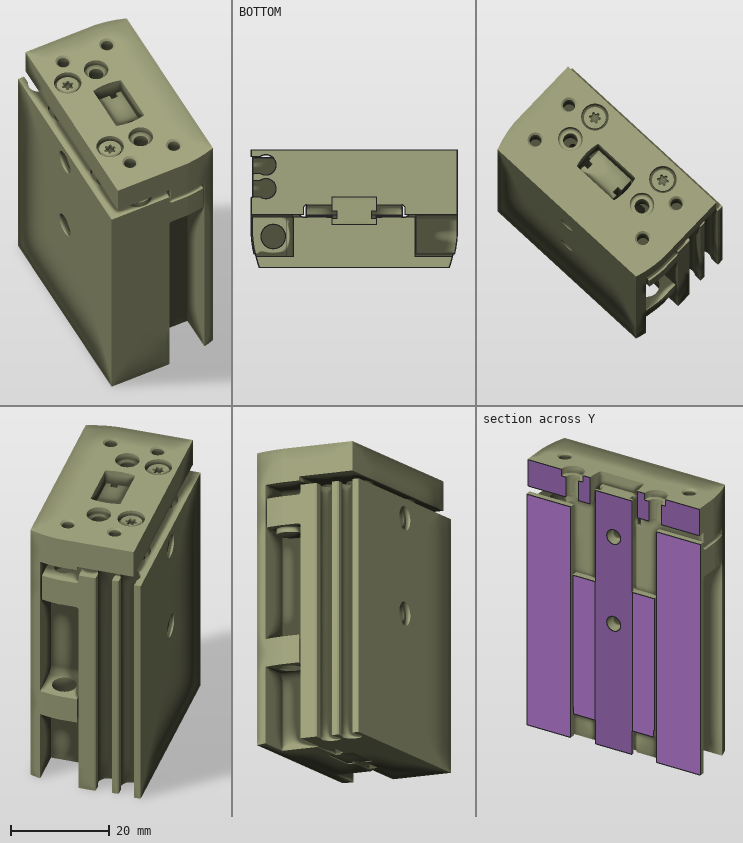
import cadquery as cq
import math

total_depth = 24.0
total_height = 61.0

housing_width = 42.0
housing_height = 53.0
housing_top_y = 13.2
channel_half_width = 10.3
channel_floor_y = 11.2
carriage_half_width = 9.85
carriage_top_y = 13.45
carriage_bottom_z = 5.6
carriage_body_bottom_z = 7.2
carriage_top_z = 37.5
channel_corner = 0.4
end_cap_inset = 0.15

groove_diameter = 4.13
groove_axis_x = -18.0
groove_opening = 3.4
groove_axis_ys = (3.08, 7.9)
groove_strip_recess = 0.3
strip_corner = 0.3
wall_corner = 0.2

ear_bottom_z = 45.0
ear_top_z = 51.0
ear_top_y = 21.2
ear_fillet = 0.7
ear_side_gap = 0.15
adjuster_x = -16.5
adjuster_y = 17.65
adjuster_bumper_diameter = 6.0
adjuster_bumper_length = 1.15
adjuster_socket_diameter = 4.0
adjuster_socket_depth = 1.5

stop_x = 17.65
stop_y = 7.5
stop_diameter = 6.0
stop_height = 1.4
stop_tip_diameter = 3.0

table_width = 41.4
table_front_y = 1.57
end_plate_thickness = 6.15
flank_start_y = 17.5
flank_mid_y = 21.0
flank_mid_inset = 0.5
flank_end_inset = 1.35
plate_inner_y = 21.7
block_bottom_y = 13.7
block_half_width = 12.4
arm_bottom_z = 54.0
far_arm_bottom_z = 52.0
stop_block_bottom_z = 16.0
stop_block_top_z = 21.8
stop_block_hole = 5.0
block_fillet = 1.4

window_half_width = 5.2
window_end_bulge = 0.44
window_bottom_z = 52.0
window_front_y = 9.1
window_back_y = 15.5
window_corner = 0.3

rail_half_width = 4.5
rail_front_y = 9.6
rail_back_y = 15.25
rail_bottom_z = 0.2
rail_top_z = 58.45
rail_chamfer = 0.25
rail_groove_front_y = 12.5
rail_groove_back_y = 14.0
rail_groove_depth = 1.0

piston_x = 9.5
piston_y = 5.5
piston_diameter = 5.6
piston_depth = 20.0
bore_mouth_diameter = 8.0
bore_mouth_depth = 2.0
screw_counterbore = 5.6
screw_counterbore_depth = 1.6
screw_head_diameter = 4.46
screw_head_drop = 0.8
socket_diameter = 2.46
socket_core_diameter = 1.7
socket_lobe_diameter = 0.6
socket_depth = 1.2
socket_lobes = 6

through_hole_x = 10.0
through_hole_y = 12.25
through_hole_diameter = 3.0
through_counterbore = 5.0
through_counterbore_depth = 1.5
thread_hole_x = 15.0
thread_hole_ys = (7.3, 17.3)
thread_hole_diameter = 2.46
thread_hole_mouth = 3.24
thread_hole_depth = 5.0

cross_hole_zs = (29.0, 48.9)
cross_hole_diameter = 3.24
cross_counterbore = 5.0
cross_counterbore_depth = 1.0

end_plate_bottom_z = total_height - end_plate_thickness
piston_bottom_z = housing_height - piston_depth
left = -1
right = 1
edge_search = 0.1


def box(x0, x1, y0, y1, z0, z1):
    """Axis-aligned block between the given limits."""
    return cq.Workplane("XY").box(x1 - x0, y1 - y0, z1 - z0, centered=False).translate((x0, y0, z0))


def rod(x, y, z0, z1, diameter):
    """Cylinder along Z."""
    return cq.Workplane("XY").workplane(offset=z0).center(x, y).circle(diameter / 2).extrude(z1 - z0)


def cross_rods(diameter, length):
    """Cylinders along Y, one at each cross hole, starting at the mounting face."""
    points = [(0, z) for z in cross_hole_zs]
    return cq.Workplane("XZ").pushPoints(points).circle(diameter / 2).extrude(-length)


def curved_slab(half_width, y0, y1, z0, z1):
    """Slab whose two X flanks curve inward toward +Y, trimmed to y0..y1."""
    mid_x = half_width - flank_mid_inset
    end_x = half_width - flank_end_inset
    outline = (
        cq.Workplane("XY").workplane(offset=z0)
        .moveTo(-half_width, 0)
        .lineTo(half_width, 0)
        .lineTo(half_width, flank_start_y)
        .threePointArc((mid_x, flank_mid_y), (end_x, total_depth))
        .lineTo(-end_x, total_depth)
        .threePointArc((-mid_x, flank_mid_y), (-half_width, flank_start_y))
        .close()
        .extrude(z1 - z0)
    )
    return outline.intersect(box(-half_width, half_width, y0, y1, z0, z1))


def rail_section():
    """Guide rail with a groove along each side and a chamfered upper end."""
    rail = box(-rail_half_width, rail_half_width, rail_front_y, rail_back_y, rail_bottom_z, rail_top_z)
    rail = rail.faces(">Z").edges(">Y").chamfer(rail_chamfer)
    groove_inner = rail_half_width - rail_groove_depth
    for side in (left, right):
        x_limits = sorted((side * groove_inner, side * rail_half_width))
        rail = rail.cut(box(*x_limits, rail_groove_front_y, rail_groove_back_y, rail_bottom_z, rail_top_z))
    return rail


def sensor_groove(axis_y):
    """Round groove with a narrower opening to the -X side."""
    opening = box(-housing_width / 2, groove_axis_x, axis_y - groove_opening / 2,
                  axis_y + groove_opening / 2, 0, housing_height)
    return rod(groove_axis_x, axis_y, 0, housing_height, groove_diameter).union(opening)


def chamfer_upright_edge(body, x, y, size):
    """Chamfer the full-height housing edge that stands at x, y."""
    edge = cq.selectors.BoxSelector(
        (x - edge_search, y - edge_search, 0), (x + edge_search, y + edge_search, housing_height))
    return body.edges("|Z").edges(edge).chamfer(size)


def make_carriage():
    """Rail carriage whose tabs fill the rail grooves, with a slightly narrower cap at its lower end."""
    cap_half_width = carriage_half_width - end_cap_inset
    carriage = box(-carriage_half_width, carriage_half_width, channel_floor_y, carriage_top_y,
                   carriage_body_bottom_z, carriage_top_z)
    carriage = carriage.edges("|Z and <Y").chamfer(channel_corner)
    tabs = box(-rail_half_width, rail_half_width, rail_groove_front_y, rail_groove_back_y,
               carriage_body_bottom_z, carriage_top_z)
    cap = box(-cap_half_width, cap_half_width, channel_floor_y, carriage_top_y - end_cap_inset,
              carriage_bottom_z, carriage_body_bottom_z)
    return carriage.union(tabs).union(cap)


def make_ears():
    """Pair of stop ears beside the central block, blended into the housing."""
    gap_half_width = block_half_width + ear_side_gap
    z0 = ear_bottom_z - ear_fillet
    z1 = ear_top_z + ear_fillet
    ears = curved_slab(housing_width / 2, housing_top_y, ear_top_y, ear_bottom_z, ear_top_z)
    root = (
        cq.Workplane("YZ").workplane(offset=-housing_width / 2)
        .moveTo(housing_top_y, z0)
        .radiusArc((housing_top_y + ear_fillet, ear_bottom_z), ear_fillet)
        .lineTo(housing_top_y + ear_fillet, ear_top_z)
        .radiusArc((housing_top_y, z1), ear_fillet)
        .close()
        .extrude(housing_width)
    )
    gap = box(-gap_half_width, gap_half_width, housing_top_y, ear_top_y, z0, z1)
    return ears.union(root).cut(gap)


def make_housing():
    half = housing_width / 2
    body = box(-half, half, 0, housing_top_y, 0, housing_height)
    channel = box(-channel_half_width, channel_half_width, channel_floor_y, housing_top_y, 0, housing_height)
    channel = channel.edges("|Z and <Y").chamfer(channel_corner)
    trough = box(-rail_half_width, rail_half_width, rail_front_y, channel_floor_y, 0, housing_height)
    body = body.cut(channel).cut(trough)

    lower_y, upper_y = groove_axis_ys
    strip_x = -half + groove_strip_recess
    body = body.cut(box(-half, strip_x, lower_y, upper_y, 0, housing_height))
    for axis_y in groove_axis_ys:
        body = body.cut(sensor_groove(axis_y))
    strip_edge_y = lower_y + groove_opening / 2
    wall_edge_y = upper_y + groove_opening / 2
    body = chamfer_upright_edge(body, strip_x, strip_edge_y, strip_corner)
    body = chamfer_upright_edge(body, -half, wall_edge_y, wall_corner)

    body = body.union(make_carriage()).union(make_ears())
    body = body.union(rod(adjuster_x, adjuster_y, ear_bottom_z - adjuster_bumper_length, ear_bottom_z,
                          adjuster_bumper_diameter))
    body = body.cut(rod(adjuster_x, adjuster_y, ear_top_z - adjuster_socket_depth, ear_top_z,
                        adjuster_socket_diameter))

    stop_top_z = housing_height + stop_height
    body = body.union(rod(stop_x, stop_y, housing_height, stop_top_z, stop_diameter))
    body = body.union(rod(stop_x, stop_y, stop_top_z, end_plate_bottom_z, stop_tip_diameter))

    for side in (left, right):
        body = body.cut(rod(side * piston_x, piston_y, piston_bottom_z, housing_height, piston_diameter))
        body = body.cut(rod(side * piston_x, piston_y, housing_height - bore_mouth_depth, housing_height,
                            bore_mouth_diameter))

    body = body.cut(rail_section())
    body = body.cut(cross_rods(cross_hole_diameter, total_depth))
    return body.cut(cross_rods(cross_counterbore, cross_counterbore_depth))


def side_arm(side, z0, z1):
    """Arm beside the central block, on the given side."""
    half = table_width / 2
    x_limits = sorted((side * block_half_width, side * half))
    arm = curved_slab(half, block_bottom_y, plate_inner_y, z0, z1)
    return arm.intersect(box(*x_limits, block_bottom_y, plate_inner_y, z0, z1))


def window_cut():
    """Window whose two X ends bow outward."""
    bulge_x = window_half_width + window_end_bulge
    mid_y = (window_front_y + window_back_y) / 2
    return (
        cq.Workplane("XY").workplane(offset=window_bottom_z)
        .moveTo(-window_half_width, window_front_y)
        .lineTo(window_half_width, window_front_y)
        .threePointArc((bulge_x, mid_y), (window_half_width, window_back_y))
        .lineTo(-window_half_width, window_back_y)
        .threePointArc((-bulge_x, mid_y), (-window_half_width, window_front_y))
        .close()
        .extrude(total_height - window_bottom_z)
        .edges("|Z").fillet(window_corner)
    )


def block_corner_fillet(corner_z, direction):
    """Concave fillet along Y where an arm face at corner_z meets the block; direction is +1 up, -1 down."""
    z_limits = sorted((corner_z, corner_z + direction * block_fillet))
    fill = box(-block_half_width - block_fillet, -block_half_width, block_bottom_y, plate_inner_y, *z_limits)
    round_cut = (
        cq.Workplane("XZ")
        .center(-block_half_width - block_fillet, corner_z + direction * block_fillet)
        .circle(block_fillet)
        .extrude(-total_depth)
    )
    return fill.cut(round_cut)


def torx_socket(x, y, top_z):
    """Six-lobed socket recess."""
    bottom_z = top_z - socket_depth
    socket = rod(x, y, bottom_z, top_z, socket_core_diameter)
    lobe_radius = (socket_diameter - socket_lobe_diameter) / 2
    for index in range(socket_lobes):
        angle = math.pi / 2 + index * 2 * math.pi / socket_lobes
        lobe_x = x + lobe_radius * math.cos(angle)
        lobe_y = y + lobe_radius * math.sin(angle)
        socket = socket.union(rod(lobe_x, lobe_y, bottom_z, top_z, socket_lobe_diameter))
    return socket


def thread_hole(x, y):
    """Blind threaded hole with a countersunk mouth."""
    chamfer = (thread_hole_mouth - thread_hole_diameter) / 2
    mouth = (
        cq.Workplane("XY").workplane(offset=total_height).center(x, y)
        .circle(thread_hole_mouth / 2)
        .extrude(-chamfer, taper=45)
    )
    return rod(x, y, total_height - thread_hole_depth, total_height, thread_hole_diameter).union(mouth)


def make_table():
    half = table_width / 2
    table = curved_slab(half, table_front_y, total_depth, end_plate_bottom_z, total_height)
    table = table.union(curved_slab(half, plate_inner_y, total_depth, 0, total_height))
    block = box(-block_half_width, block_half_width, block_bottom_y, plate_inner_y, 0, total_height)
    table = table.union(block)

    table = table.union(side_arm(left, arm_bottom_z, total_height))
    table = table.union(side_arm(right, far_arm_bottom_z, total_height))
    table = table.union(side_arm(left, stop_block_bottom_z, stop_block_top_z))
    for corner_z, direction in ((arm_bottom_z, -1), (stop_block_top_z, 1), (stop_block_bottom_z, -1)):
        table = table.union(block_corner_fillet(corner_z, direction))
    table = table.cut(rod(adjuster_x, adjuster_y, stop_block_bottom_z, stop_block_top_z, stop_block_hole))

    seat = box(-rail_half_width, rail_half_width, rail_front_y, rail_back_y, 0, end_plate_bottom_z)
    table = table.cut(window_cut()).cut(seat).union(rail_section())

    for side in (left, right):
        x = side * piston_x
        head_z = total_height - screw_head_drop
        counterbore_z = total_height - screw_counterbore_depth
        table = table.union(rod(x, piston_y, piston_bottom_z, end_plate_bottom_z, piston_diameter))
        table = table.cut(rod(x, piston_y, counterbore_z, total_height, screw_counterbore))
        table = table.union(rod(x, piston_y, counterbore_z, head_z, screw_head_diameter))
        table = table.cut(torx_socket(x, piston_y, head_z))

        x = side * through_hole_x
        table = table.cut(rod(x, through_hole_y, end_plate_bottom_z, total_height, through_hole_diameter))
        table = table.cut(rod(x, through_hole_y, total_height - through_counterbore_depth, total_height,
                              through_counterbore))

        for y in thread_hole_ys:
            table = table.cut(thread_hole(side * thread_hole_x, y))

    return table.cut(cross_rods(cross_hole_diameter, total_depth))


housing = make_housing()
table = make_table()
result = cq.Compound.makeCompound([*housing.solids().vals(), *table.solids().vals()])